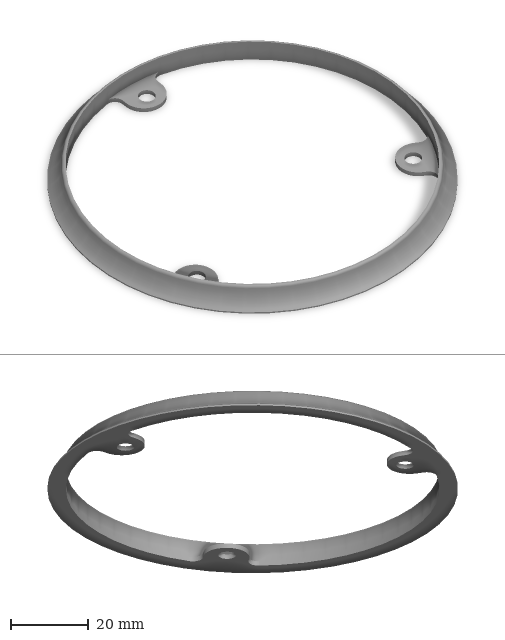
import cadquery as cq
import math

outer_radius = 52.8
inner_radius = 96.0 / 2
height = 6.0
rim_height = 0.4
lip_width = 0.2
lip_round = 0.8
lip_start_angle = 15
flare_mid_radius = 50.2
flare_mid_height = 2.5

tab_count = 3
tab_thickness = 1.3
tab_radius = 5.9
tab_center = 43.3
tab_fillet = 2.6
hole_diameter = 4.5
hole_center = 42.0
tab_overlap = 0.5


def make_ring():
    """Ring with a straight bore and a hollow, flared outer face."""
    round_center_radius = inner_radius + lip_width
    round_center_height = height - lip_round

    def round_point(angle):
        """Radius and height on the lip rounding at an angle in degrees above horizontal."""
        radius = round_center_radius + lip_round * math.cos(math.radians(angle))
        level = round_center_height + lip_round * math.sin(math.radians(angle))
        return radius, level

    lip_middle_angle = (lip_start_angle + 90) / 2
    profile = (
        cq.Workplane("XZ")
        .moveTo(inner_radius, 0)
        .lineTo(outer_radius, 0)
        .lineTo(outer_radius, rim_height)
        .threePointArc((flare_mid_radius, flare_mid_height), round_point(lip_start_angle))
        .threePointArc(round_point(lip_middle_angle), (round_center_radius, height))
        .lineTo(inner_radius, height)
        .close()
    )
    return profile.revolve(360, (0, 0, 0), (0, 1, 0))


def make_tab():
    """Round-ended tab on the -X side, blended into the bore by fillets."""
    blend_y = tab_radius + tab_fillet
    blend_x = math.sqrt((inner_radius - tab_fillet) ** 2 - blend_y**2)
    wall_angle = math.atan2(blend_y, blend_x)
    wall_x = inner_radius * math.cos(wall_angle)
    wall_y = inner_radius * math.sin(wall_angle)
    middle_angle = (wall_angle - math.pi / 2) / 2
    middle_x = blend_x + tab_fillet * math.cos(middle_angle)
    middle_y = blend_y + tab_fillet * math.sin(middle_angle)
    root_radius = inner_radius + tab_overlap
    root_x = root_radius * math.cos(wall_angle)
    root_y = root_radius * math.sin(wall_angle)

    tab = (
        cq.Workplane("XY")
        .moveTo(-tab_center, tab_radius)
        .threePointArc((tab_radius - tab_center, 0), (-tab_center, -tab_radius))
        .lineTo(-blend_x, -tab_radius)
        .threePointArc((-middle_x, -middle_y), (-wall_x, -wall_y))
        .lineTo(-root_x, -root_y)
        .threePointArc((-root_radius, 0), (-root_x, root_y))
        .lineTo(-wall_x, wall_y)
        .threePointArc((-middle_x, middle_y), (-blend_x, tab_radius))
        .close()
        .extrude(tab_thickness)
    )
    hole = cq.Workplane("XY").center(-hole_center, 0).circle(hole_diameter / 2).extrude(tab_thickness)
    return tab.cut(hole)


result = make_ring()
for index in range(tab_count):
    tab = make_tab().rotate((0, 0, 0), (0, 0, 1), index * 360 / tab_count)
    result = result.union(tab)